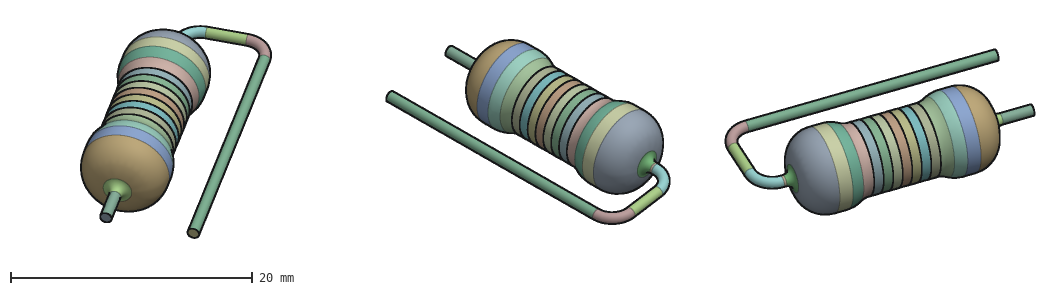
import cadquery as cq
import math

body_diameter = 7.5
neck_diameter = 6.38
band_diameter = 6.4
body_length = 18.02
dome_radius = 2.64
cap_straight_length = 1.2
shoulder_length = 2.15
strip_count = 7

wire_diameter = 1.0
root_fillet_radius = 0.75
lead_pitch = 7.5
bend_radius = 2.0
total_length = 25.1
lead_end_y = -12.63

body_radius = body_diameter / 2
neck_radius = neck_diameter / 2
band_radius = band_diameter / 2
wire_radius = wire_diameter / 2
body_end = body_length / 2
dome_base = body_end - dome_radius
shoulder_outer = dome_base - cap_straight_length
neck_end = shoulder_outer - shoulder_length
strip_width = 2 * neck_end / strip_count


def shoulder_arc_middles():
    """Middle points of the convex (outer) and concave (inner) arcs of the S-shaped shoulder."""
    half_length = shoulder_length / 2
    half_drop = (body_radius - neck_radius) / 2
    arc_radius = (half_length**2 + half_drop**2) / (2 * half_drop)
    half_angle = math.asin(half_length / arc_radius) / 2
    along = arc_radius * math.sin(half_angle)
    across = arc_radius * (1 - math.cos(half_angle))
    convex = (body_radius - across, shoulder_outer - along)
    concave = (neck_radius + across, neck_end + along)
    return convex, concave


def root_and_dome_points():
    """Points of the fillet between wire and dome, and of the dome arc, tangent to each other."""
    dome_center_r = body_radius - dome_radius
    fillet_center_r = wire_radius + root_fillet_radius
    offset_r = fillet_center_r - dome_center_r
    center_distance = dome_radius + root_fillet_radius
    tilt = math.asin(offset_r / center_distance)
    fillet_center_y = dome_base + center_distance * math.cos(tilt)

    fillet_angle = (math.pi / 2 - tilt) / 2
    fillet_top = (wire_radius, fillet_center_y)
    fillet_middle = (
        fillet_center_r - root_fillet_radius * math.cos(fillet_angle),
        fillet_center_y - root_fillet_radius * math.sin(fillet_angle),
    )
    tangent_point = (
        dome_center_r + dome_radius * math.sin(tilt),
        dome_base + dome_radius * math.cos(tilt),
    )
    dome_angle = (math.pi / 2 + tilt) / 2
    dome_middle = (
        dome_center_r + dome_radius * math.sin(dome_angle),
        dome_base + dome_radius * math.cos(dome_angle),
    )
    return fillet_top, fillet_middle, tangent_point, dome_middle


def make_end_cap():
    """The +Y end of the body from neck to wire: shoulder, cap, dome and root fillet, revolved about Y."""
    fillet_top, fillet_middle, tangent_point, dome_middle = root_and_dome_points()
    convex_middle, concave_middle = shoulder_arc_middles()
    inflection = ((body_radius + neck_radius) / 2, (shoulder_outer + neck_end) / 2)
    return (
        cq.Workplane("XY")
        .moveTo(0, neck_end)
        .lineTo(0, fillet_top[1])
        .lineTo(*fillet_top)
        .threePointArc(fillet_middle, tangent_point)
        .threePointArc(dome_middle, (body_radius, dome_base))
        .lineTo(body_radius, shoulder_outer)
        .threePointArc(convex_middle, inflection)
        .threePointArc(concave_middle, (neck_radius, neck_end))
        .close()
        .revolve(360, (0, 0, 0), (0, 1, 0))
    )


def rod(radius, start_y, length):
    """Cylinder on the body axis, running from start_y towards +Y."""
    return cq.Workplane("XZ", origin=(0, start_y, 0)).circle(radius).extrude(-length)


def make_bent_lead():
    """Lead that leaves the +Y end, turns twice and runs back beside the body."""
    crossbar_y = lead_end_y + total_length - wire_radius
    bend_start_y = crossbar_y - bend_radius
    bend_diagonal = bend_radius * math.sqrt(0.5)
    first_center_x = bend_radius
    second_center_x = lead_pitch - bend_radius
    path = (
        cq.Workplane("XY")
        .moveTo(0, dome_base)
        .lineTo(0, bend_start_y)
        .threePointArc(
            (first_center_x - bend_diagonal, bend_start_y + bend_diagonal),
            (first_center_x, crossbar_y),
        )
        .lineTo(second_center_x, crossbar_y)
        .threePointArc(
            (second_center_x + bend_diagonal, bend_start_y + bend_diagonal),
            (lead_pitch, bend_start_y),
        )
        .lineTo(lead_pitch, lead_end_y)
    )
    section = cq.Workplane("XZ", origin=(0, dome_base, 0)).circle(wire_radius)
    return section.sweep(path)


end_cap = make_end_cap()
neck = rod(neck_radius, -neck_end, 2 * neck_end)
body = neck.union(end_cap).union(end_cap.mirror("XZ"))

for strip in range(0, strip_count, 2):
    body = body.union(rod(band_radius, -neck_end + strip * strip_width, strip_width))

straight_lead = rod(wire_radius, lead_end_y, -dome_base - lead_end_y)
result = body.union(straight_lead).union(make_bent_lead())